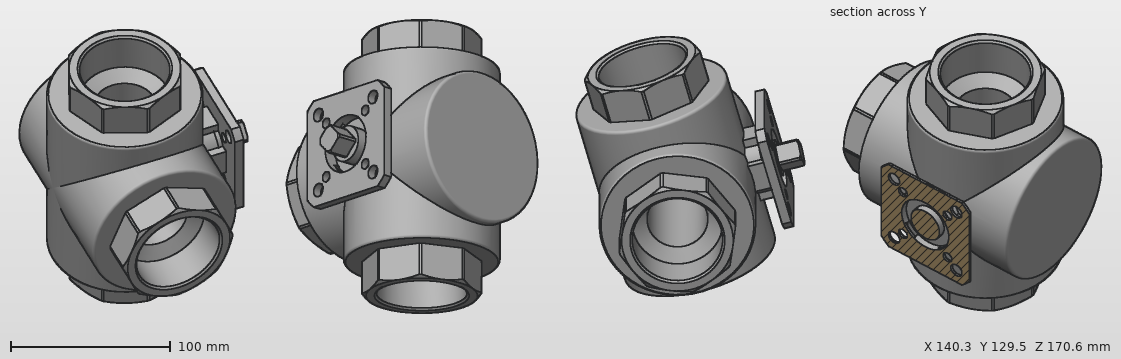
import cadquery as cq
import math

body_diameter = 98.0
shoulder_reach_z = 63.0
shoulder_reach_x = 63.4
blind_reach = 55.0
body_edge_radius = 2.0
shoulder_facing = 0.2

port_reach = 85.3
port_sides = 8
octagon_flats = 69.9
octagon_corner_diameter = 75.0
octagon_chamfer_axial = 1.7
bore_diameter = 56.66
bore_mouth_diameter = 59.4
bore_depth = 26.0
taper_angle = 120.0
passage_diameter = 38.1

boss_diameter = 37.0
boss_top = 57.0
neck_diameter = 23.0
post_width = 18.0
post_outer = 21.5
plate_bottom = 60.0
plate_thickness = 6.0
plate_top = plate_bottom + plate_thickness
neck_top = plate_top
plate_side = 70.0
plate_corner_diameter = 91.0
outer_hole_diameter = 8.5
outer_hole_circle = 70.0
inner_hole_diameter = 6.5
inner_hole_circle = 50.0
hole_start_angle = 45
hole_count = 4

stem_flats = 14.0
stem_corner_diameter = 18.1
stem_top = 80.5
stem_turn = 45
stem_end_chamfer = 1.0

MOUNT_PLANE = cq.Plane(origin=(0, 0, 0), xDir=(-1, 0, 0), normal=(0, 1, 0))


def toward_x(solid):
    """Turn a solid built along +Z so that it points along +X."""
    return solid.rotate((0, 0, 0), (0, 1, 0), 90)


def toward_minus_z(solid):
    """Turn a solid built along +Z so that it points along -Z."""
    return solid.rotate((0, 0, 0), (0, 1, 0), 180)


def rounded_cylinder(bottom, top):
    """Body cylinder along Z with both end edges rounded."""
    cylinder = cq.Workplane("XY").workplane(offset=bottom).circle(body_diameter / 2).extrude(top - bottom)
    return cylinder.edges("%CIRCLE").fillet(body_edge_radius)


def z_body():
    """Body cylinder through the Z ports, faced off flat at both shoulders."""
    rounded_reach = shoulder_reach_z + shoulder_facing
    facing_limits = cq.Workplane("XY").box(body_diameter, body_diameter, 2 * shoulder_reach_z)
    return rounded_cylinder(-rounded_reach, rounded_reach).intersect(facing_limits)


def x_body():
    """Body cylinder from the closed -X end to the +X shoulder."""
    return toward_x(rounded_cylinder(-blind_reach, shoulder_reach_x))


def port_end():
    """Octagonal end along +Z, its corners turned down and its face edge chamfered."""
    across_corners = octagon_flats / math.cos(math.pi / port_sides)
    octagon = cq.Workplane("XY").polygon(port_sides, across_corners).extrude(port_reach)
    corner_radius = octagon_corner_diameter / 2
    envelope = (
        cq.Workplane("XZ")
        .moveTo(0, 0)
        .lineTo(corner_radius, 0)
        .lineTo(corner_radius, port_reach - octagon_chamfer_axial)
        .lineTo(octagon_flats / 2, port_reach)
        .lineTo(0, port_reach)
        .close()
        .revolve(360, (0, 0, 0), (0, 1, 0))
    )
    return octagon.intersect(envelope)


def port_bore():
    """Cutting tool along +Z: passage, taper, bore and chamfered mouth."""
    bore_radius = bore_diameter / 2
    mouth_radius = bore_mouth_diameter / 2
    passage_radius = passage_diameter / 2
    mouth_chamfer = mouth_radius - bore_radius
    bore_floor = port_reach - bore_depth
    taper_depth = (bore_radius - passage_radius) / math.tan(math.radians(taper_angle / 2))
    return (
        cq.Workplane("XZ")
        .moveTo(0, 0)
        .lineTo(passage_radius, 0)
        .lineTo(passage_radius, bore_floor - taper_depth)
        .lineTo(bore_radius, bore_floor)
        .lineTo(bore_radius, port_reach - mouth_chamfer)
        .lineTo(mouth_radius, port_reach)
        .lineTo(0, port_reach)
        .close()
        .revolve(360, (0, 0, 0), (0, 1, 0))
    )


def mount_disc(diameter, top):
    """Cylinder along +Y from the valve centre up to the given height."""
    return cq.Workplane(MOUNT_PLANE).circle(diameter / 2).extrude(top)


def mount_posts():
    """Four posts around the boss, one on each side of the stem axis."""
    post_square = 2 * post_outer
    bar_x = cq.Workplane(MOUNT_PLANE).rect(post_square, post_width).extrude(plate_bottom)
    bar_z = cq.Workplane(MOUNT_PLANE).rect(post_width, post_square).extrude(plate_bottom)
    return bar_x.union(bar_z).cut(mount_disc(boss_diameter, plate_bottom))


def mount_plate():
    """Square flange with corners turned to a circle, a clear centre and two holes per corner."""
    plate = (
        cq.Workplane(MOUNT_PLANE)
        .workplane(offset=plate_bottom)
        .rect(plate_side, plate_side)
        .extrude(plate_thickness)
        .intersect(mount_disc(plate_corner_diameter, plate_top))
    )
    hole_rings = (
        (outer_hole_diameter, outer_hole_circle),
        (inner_hole_diameter, inner_hole_circle),
    )
    for diameter, pitch_circle in hole_rings:
        holes = (
            cq.Workplane(MOUNT_PLANE)
            .workplane(offset=plate_bottom)
            .polarArray(pitch_circle / 2, hole_start_angle, 360, hole_count)
            .circle(diameter / 2)
            .extrude(plate_thickness)
        )
        plate = plate.cut(holes)
    return plate.cut(mount_disc(boss_diameter, plate_top))


def stem():
    """Drive square along +Y with turned corners and a chamfered end."""
    square = (
        cq.Workplane(MOUNT_PLANE)
        .transformed(rotate=(0, 0, stem_turn))
        .rect(stem_flats, stem_flats)
        .extrude(stem_top)
    )
    turned = mount_disc(stem_corner_diameter, stem_top).faces(">Y").chamfer(stem_end_chamfer)
    return square.intersect(turned)


def valve():
    """Solid outer form first, then the flow passages cut through it."""
    end = port_end()
    bore = port_bore()
    shape = z_body().union(x_body())
    for part in (end, toward_minus_z(end), toward_x(end)):
        shape = shape.union(part)
    for part in (
        mount_disc(boss_diameter, boss_top),
        mount_disc(neck_diameter, neck_top),
        mount_posts(),
        mount_plate(),
        stem(),
    ):
        shape = shape.union(part)
    for tool in (bore, toward_minus_z(bore), toward_x(bore)):
        shape = shape.cut(tool)
    return shape


result = valve()